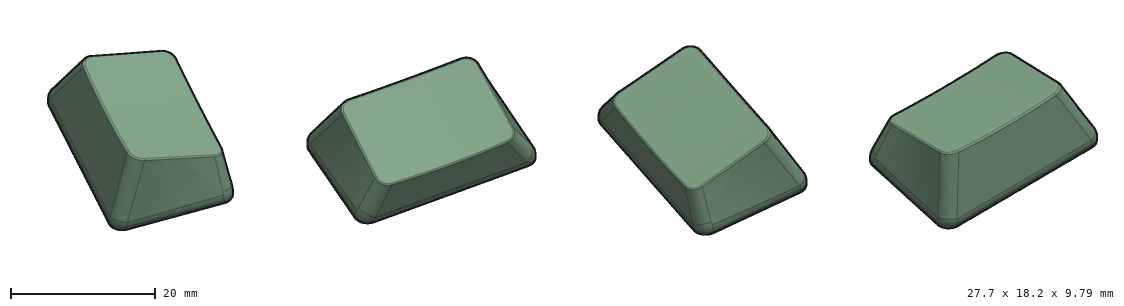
import cadquery as cq
import math

LENGTH = 27.7
WIDTH = 18.16

BEND_HEIGHT = 1.0
BEND_BAND = 0.03
WALL_RADIUS = 1.97

TILT = 16.0
RIM_LENGTH = 20.6
RIM_FRONT_Y = -4.9
RIM_BACK_Y = 8.53
RIM_MID_HEIGHT = 8.45

DISH_RADIUS = 119.07
DISH_FLOOR_DEPTH = 0.9
DISH_RUN = 2 * WIDTH
TOP_ROUNDING = 0.28


def tilted_plane():
    """Plane of the rim: local X along the key, local Y down the slope to the back."""
    tilt = math.radians(TILT)
    return cq.Plane(
        origin=(0, (RIM_FRONT_Y + RIM_BACK_Y) / 2, RIM_MID_HEIGHT),
        xDir=(1, 0, 0),
        normal=(0, math.sin(tilt), math.cos(tilt)),
    )


def make_skirt():
    """Upright walls below the bend."""
    return cq.Workplane("XY").rect(LENGTH, WIDTH).extrude(BEND_HEIGHT)


def make_leaning_body():
    """Ruled walls from the bend up to the tilted rim."""
    rim_width = (RIM_BACK_Y - RIM_FRONT_Y) / math.cos(math.radians(TILT))
    lower = cq.Workplane("XY").workplane(offset=BEND_HEIGHT).rect(LENGTH, WIDTH)
    upper = cq.Workplane(tilted_plane()).rect(RIM_LENGTH, rim_width)
    return cq.Workplane(cq.Solid.makeLoft([lower.val(), upper.val()], True))


def make_dish():
    """Cylinder that hollows the top."""
    rim = tilted_plane()
    axis_height = DISH_RADIUS - DISH_FLOOR_DEPTH
    start = rim.toWorldCoords((0, -DISH_RUN / 2, axis_height))
    return cq.Workplane(cq.Solid.makeCylinder(DISH_RADIUS, DISH_RUN, start, rim.yDir))


def is_corner(edge):
    """True for the upright or leaning edge between two neighbouring walls."""
    middle = edge.Center()
    rises = edge.BoundingBox().zlen > BEND_HEIGHT / 2
    return rises and abs(middle.x) > LENGTH / 4 and abs(middle.y) > WIDTH / 4


cap = make_skirt().union(make_leaning_body()).cut(make_dish())

bend_box = cq.selectors.BoxSelector(
    (-LENGTH, -WIDTH, BEND_HEIGHT - BEND_BAND),
    (LENGTH, WIDTH, BEND_HEIGHT + BEND_BAND),
    boundingbox=True,
)
bend_edges = cap.edges(bend_box).vals()
corner_edges = [edge for edge in cap.edges().vals() if is_corner(edge)]
cap = cap.newObject(bend_edges + corner_edges).fillet(WALL_RADIUS)

dish_face = cq.selectors.NearestToPointSelector((0, 0, RIM_MID_HEIGHT - DISH_FLOOR_DEPTH))
result = cap.faces(dish_face).edges().fillet(TOP_ROUNDING)